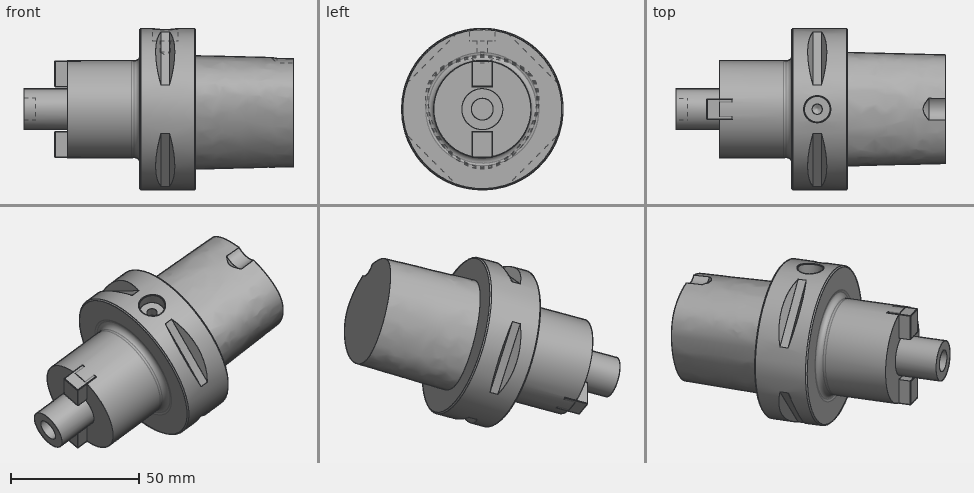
import cadquery as cq
import math

nose_face_x = 16.9
collar_front_x = 45.0
collar_back_x = 66.9
total_length = 105.0

pilot_diameter = 16.0
pilot_bore_diameter = 8.5
pilot_bore_depth = 4.5
nose_diameter = 38.0
collar_diameter = 63.0
collar_chamfer = 0.5

relief_diameter = 37.8
relief_start_x = 41.9
relief_slope_length = 1.0
relief_radius = 2.2
relief_face_depth = 0.2
relief_rim_diameter = 44.1

shank_mean_radius = 22.2
shank_taper_ratio = 20.0
lobe_height = 1.3
outline_points = 60

key_width = 8.0
key_front_x = 12.0
key_length = 10.0
key_inner_z = 8.7
key_outer_z = 18.8
key_chamfer = 0.2

groove_x = 55.0
groove_count = 4
groove_start_angle = 45.0
groove_floor_width = 3.4
groove_floor_radius = 27.9
groove_wall_angle = 30.0

pocket_diameter = 10.0
pocket_chamfer = 0.3
pocket_depth = 5.0
drill_diameter = 4.0
drill_depth = 4.2
drill_point_angle = 118.0

notch_diameter = 11.8
notch_axis_z = 23.8
notch_start_x = 98.5
notch_point_angle = 90.0


def turned_body():
    """Pilot, nose, relief groove and collar, revolved about the X axis."""
    relief_arc_x = relief_start_x + relief_slope_length
    relief_bottom_radius = relief_diameter / 2
    relief_face_x = collar_front_x + relief_face_depth
    arc_width = relief_face_x - relief_arc_x
    arc_mid = (
        relief_arc_x + arc_width * math.sin(math.pi / 4),
        relief_bottom_radius + relief_radius * (1 - math.cos(math.pi / 4)),
    )
    collar_radius = collar_diameter / 2
    profile = (
        cq.Workplane("XY")
        .moveTo(0, 0)
        .lineTo(0, pilot_diameter / 2)
        .lineTo(nose_face_x, pilot_diameter / 2)
        .lineTo(nose_face_x, nose_diameter / 2)
        .lineTo(relief_start_x, nose_diameter / 2)
        .lineTo(relief_arc_x, relief_bottom_radius)
        .threePointArc(arc_mid, (relief_face_x, relief_bottom_radius + relief_radius))
        .lineTo(collar_front_x, relief_rim_diameter / 2)
        .lineTo(collar_front_x, collar_radius - collar_chamfer)
        .lineTo(collar_front_x + collar_chamfer, collar_radius)
        .lineTo(collar_back_x - collar_chamfer, collar_radius)
        .lineTo(collar_back_x, collar_radius - collar_chamfer)
        .lineTo(collar_back_x, 0)
        .close()
    )
    return profile.revolve(360, (0, 0, 0), (1, 0, 0))


def lobed_outline(mean_radius):
    """Points of a constant-width three-lobed curve with one lobe toward -Z."""
    points = []
    for step in range(outline_points):
        angle = 2 * math.pi * step / outline_points
        reach = mean_radius + lobe_height * math.sin(3 * angle)
        slope = 3 * lobe_height * math.cos(3 * angle)
        y = reach * math.cos(angle) - slope * math.sin(angle)
        z = reach * math.sin(angle) + slope * math.cos(angle)
        points.append((y, z))
    return points


def shank():
    length = total_length - collar_back_x
    end_radius = shank_mean_radius - length / shank_taper_ratio / 2
    return (
        cq.Workplane("YZ", origin=(collar_back_x, 0, 0))
        .spline(lobed_outline(shank_mean_radius), periodic=True)
        .close()
        .workplane(offset=length)
        .spline(lobed_outline(end_radius), periodic=True)
        .close()
        .loft(ruled=True)
    )


def drive_key(side):
    """Key with broken front and outer edges; side is +1 above the axis and -1 below it."""
    height = key_outer_z - key_inner_z
    center_x = key_front_x + key_length / 2
    center_z = side * (key_inner_z + key_outer_z) / 2
    key = cq.Workplane("XY").box(key_length, key_width, height).translate((center_x, 0, center_z))
    outer_face = ">Z" if side > 0 else "<Z"
    return key.faces("<X or " + outer_face).edges().chamfer(key_chamfer)


def gripper_groove(angle):
    """Straight trapezoidal groove cut across the collar at an angle about X."""
    top_radius = collar_diameter / 2
    depth = top_radius - groove_floor_radius
    half_floor = groove_floor_width / 2
    half_mouth = half_floor + depth * math.tan(math.radians(groove_wall_angle))
    groove = (
        cq.Workplane("XZ")
        .polyline([
            (groove_x - half_floor, groove_floor_radius),
            (groove_x + half_floor, groove_floor_radius),
            (groove_x + half_mouth, top_radius),
            (groove_x - half_mouth, top_radius),
        ])
        .close()
        .extrude(top_radius, both=True)
    )
    return groove.rotate((0, 0, 0), (1, 0, 0), angle)


def drill(diameter, depth, point_angle):
    """Pointed drill along +Z whose full diameter runs from 0 to depth."""
    radius = diameter / 2
    point_length = radius / math.tan(math.radians(point_angle / 2))
    return (
        cq.Workplane("XZ")
        .polyline([(0, 0), (radius, 0), (radius, depth), (0, depth + point_length)])
        .close()
        .revolve(360, (0, 0, 0), (0, 1, 0))
    )


def radial_hole():
    """Flat-bottomed pocket with a smaller drilled hole in its floor."""
    top_z = collar_diameter / 2
    floor_z = top_z - pocket_depth
    pocket = cq.Workplane("XY").circle(pocket_diameter / 2).extrude(pocket_depth).translate((0, 0, floor_z))
    bottom = drill(drill_diameter, drill_depth, drill_point_angle).rotate((0, 0, 0), (1, 0, 0), 180)
    return pocket.union(bottom.translate((0, 0, floor_z))).translate((groove_x, 0, 0))


def shank_notch():
    """Drilled notch running forward along the top of the shank."""
    notch = drill(notch_diameter, total_length - notch_start_x, notch_point_angle)
    return notch.rotate((0, 0, 0), (0, 1, 0), -90).translate((total_length, 0, notch_axis_z))


result = turned_body().union(shank())
result = result.cut(cq.Workplane("YZ").circle(pilot_bore_diameter / 2).extrude(pilot_bore_depth))
for side in (1, -1):
    result = result.union(drive_key(side))
for index in range(groove_count):
    result = result.cut(gripper_groove(groove_start_angle + index * 360 / groove_count))
result = result.cut(radial_hole()).cut(shank_notch())

rim_search_height = 1.0
rim_reach = pocket_diameter / 2 + pocket_chamfer
rim_low = (groove_x - rim_reach, -rim_reach, collar_diameter / 2 - rim_search_height)
rim_high = (groove_x + rim_reach, rim_reach, collar_diameter / 2 + rim_search_height)
result = result.edges(cq.selectors.BoxSelector(rim_low, rim_high)).chamfer(pocket_chamfer)